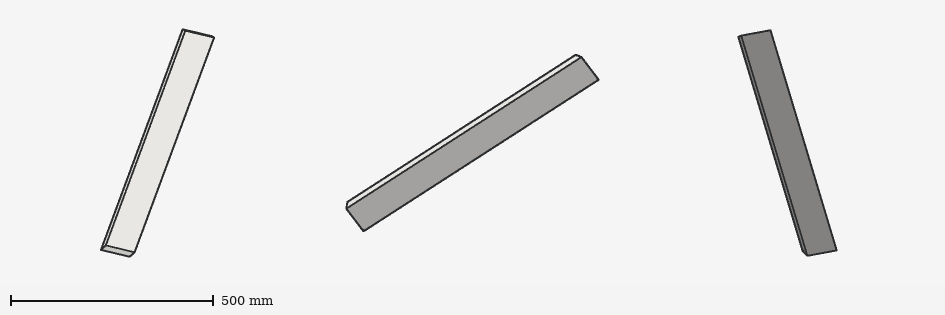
import cadquery as cq

length = 709.0
width = 84.5
thickness = 10.0
bevel = thickness

half_width = width / 2
half_length = length / 2


def sloped_strip():
    """Strip with a parallelogram section: both long sides lean toward +X."""
    section = [
        (-half_width, 0),
        (half_width - bevel, 0),
        (half_width, thickness),
        (-half_width + bevel, thickness),
    ]
    return cq.Workplane("XZ").polyline(section).close().extrude(half_length, both=True)


def end_bevel_envelope():
    """Prism across the full width whose ends lean inward toward the top."""
    profile = [
        (-half_length, 0),
        (half_length, 0),
        (half_length - bevel, thickness),
        (-half_length + bevel, thickness),
    ]
    return cq.Workplane("YZ").polyline(profile).close().extrude(half_width, both=True)


result = sloped_strip().intersect(end_bevel_envelope())